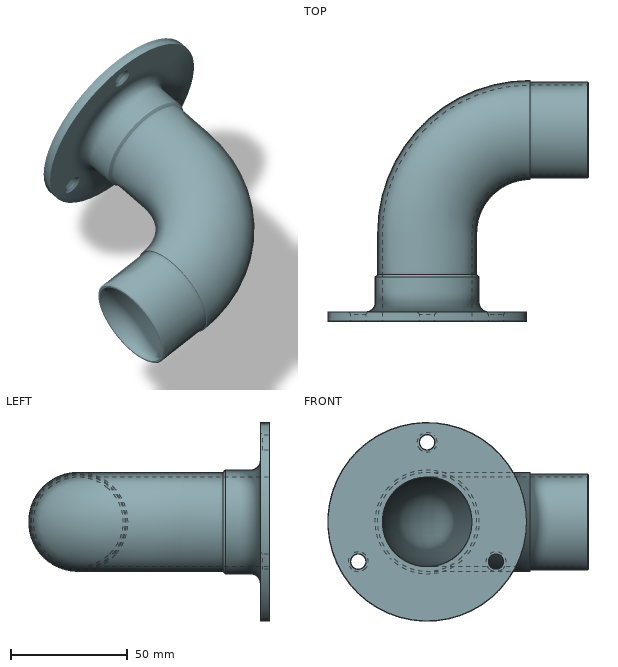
import cadquery as cq

flange_diameter = 85.0
flange_thickness = 4.0
hole_diameter = 6.5
hole_chamfer = 1.0
hole_circle_radius = 34.0
hole_count = 3

pipe_diameter = 42.4
bore_diameter = 38.4
bend_radius = 44.0
bend_start = 37.8

collar_diameter = 44.5
collar_end = 20.0
weld_radius = 4.0

spigot_diameter = 41.0
spigot_length = 25.0
spigot_chamfer = 0.5

flange_radius = flange_diameter / 2
collar_radius = collar_diameter / 2
pipe_radius = pipe_diameter / 2
collar_chamfer = collar_radius - pipe_radius
spigot_start = bend_radius
spigot_axis_y = bend_start + bend_radius


def bent_rod(diameter):
    """Solid rod running along +Y from the flange face, then bending to +X."""
    path = (
        cq.Workplane("XY")
        .lineTo(0, bend_start)
        .radiusArc((bend_radius, spigot_axis_y), bend_radius)
    )
    return cq.Workplane("XZ").circle(diameter / 2).sweep(path)


def spigot_rod(diameter):
    """Straight rod along +X, continuing the bent pipe."""
    return (
        cq.Workplane("YZ", origin=(spigot_start, spigot_axis_y, 0))
        .circle(diameter / 2)
        .extrude(spigot_length)
    )


def flange_and_collar():
    """Flange, concave weld and chamfered collar revolved about the Y axis."""
    weld_end = flange_thickness + weld_radius
    return (
        cq.Workplane("XY")
        .lineTo(flange_radius, 0)
        .lineTo(flange_radius, flange_thickness)
        .lineTo(collar_radius + weld_radius, flange_thickness)
        .radiusArc((collar_radius, weld_end), weld_radius)
        .lineTo(collar_radius, collar_end - collar_chamfer)
        .lineTo(pipe_radius, collar_end)
        .lineTo(0, collar_end)
        .close()
        .revolve(360, (0, 0, 0), (0, 1, 0))
    )


def bolt_holes():
    """Equally spaced flange holes, the first at +Z, chamfered on the collar side."""
    chamfer_start = flange_thickness - hole_chamfer
    shaft = (
        cq.Workplane("XZ", origin=(0, 0, hole_circle_radius))
        .circle(hole_diameter / 2)
        .extrude(-flange_thickness)
    )
    flare = (
        cq.Workplane("XZ", origin=(0, chamfer_start, hole_circle_radius))
        .circle(hole_diameter / 2)
        .workplane(offset=-hole_chamfer)
        .circle(hole_diameter / 2 + hole_chamfer)
        .loft()
    )
    hole = shaft.union(flare)
    holes = cq.Workplane("XZ")
    for index in range(hole_count):
        angle = index * 360 / hole_count
        holes = holes.add(hole.rotate((0, 0, 0), (0, 1, 0), angle))
    return holes.combine()


spigot = spigot_rod(spigot_diameter).faces(">X").edges().chamfer(spigot_chamfer)
body = bent_rod(pipe_diameter).union(flange_and_collar()).union(spigot)
bore = bent_rod(bore_diameter).union(spigot_rod(bore_diameter))
result = body.cut(bore).cut(bolt_holes())